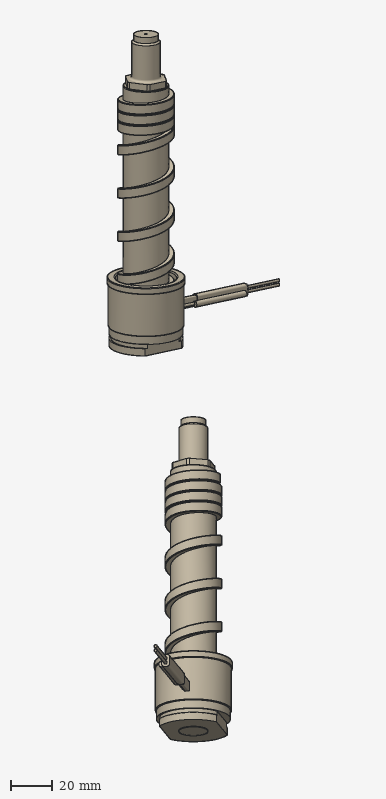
import cadquery as cq
import math

total_height = 158.2

foot_radius = 7.15
foot_top = 0.4
disc_radius = 18.0
disc_top = 4.1
neck_radius = 17.1
neck_top = 6.3
flange_top = 10.3
body_radius = 18.5
cap_bottom = 31.8
cap_radius = 19.0
cap_top = 35.2
base_edge_chamfer = 0.4
flat_distance = 14.25
recess_radius = 14.9
recess_chamfer = 0.6

barrel_radius = 11.15
barrel_top = 132.4
barrel_chamfer = 0.4
hex_across_flats = 19.0
hex_corner_radius = 10.6
hex_top = total_height - 22.5
shaft_radius = 7.0
shaft_fillet = 1.2
shaft_top = total_height - 3.9
tip_radius = 6.05
tip_bottom = total_height - 3.0
centre_hole_diameter = 1.2
centre_hole_depth = 2.0

coil_outer_radius = 13.8
coil_embed = 0.2
coil_strip_height = 5.0
coil_chamfer = 0.35
coil_upper_end_height = 127.3
coil_upper_end_angle = 176.0
close_pitch = 5.35
open_pitch = 21.95
upper_close_turn = 1166.0
upper_blend_turn = 120.0
open_turn = 1090.0
lower_blend_turn = 180.0
lower_close_turn = 360.0
coil_curve_step = 7.5

lead_start_y = 16.5
cable_x = -1.3
cable_z = 17.3
cable_width = 2.5
cable_height = 5.2
cable_fillet = 0.5
sleeve_start_y = 30.7
sleeve_length = 30.2
sleeve_width = 3.8
sleeve_height = 6.2
sleeve_fillet = 1.1
wire_end_y = 81.0
wire_diameter = 1.5
wire_spacing = 2.2
core_x = 0.15
core_z = 16.3
core_diameter = 1.6
core_sleeve_x = 1.05
core_sleeve_diameter = 3.1
core_sleeve_start_y = 28.7


def cylinder(radius, bottom, top):
    return cq.Workplane("XY").workplane(offset=bottom).circle(radius).extrude(top - bottom)


def stretch_drop(turn, start_pitch, end_pitch, full_turn):
    """Descent after `turn` degrees of a stretch whose pitch changes evenly over `full_turn`."""
    pitch_here = start_pitch + (end_pitch - start_pitch) * turn / full_turn
    return (start_pitch + pitch_here) / 2 * turn / 360


coil_stretches = [
    (upper_close_turn, close_pitch, close_pitch),
    (upper_blend_turn, close_pitch, open_pitch),
    (open_turn, open_pitch, open_pitch),
    (lower_blend_turn, open_pitch, close_pitch),
    (lower_close_turn, close_pitch, close_pitch),
]
coil_total_turn = sum(stretch[0] for stretch in coil_stretches)


def coil_height(turn):
    """Height of the strip's middle after `turn` degrees down from its upper end."""
    height = coil_upper_end_height
    for full_turn, start_pitch, end_pitch in coil_stretches:
        turn_here = min(turn, full_turn)
        height -= stretch_drop(turn_here, start_pitch, end_pitch, full_turn)
        turn -= turn_here
    return height


coil_inner_radius = barrel_radius - coil_embed
recess_floor = coil_height(coil_total_turn) - coil_strip_height / 2


def coil_edge(radius, rise, start_turn, end_turn):
    """One long edge of the strip: its radius, and its rise above the strip's middle."""
    steps = math.ceil((end_turn - start_turn) / coil_curve_step)
    points = []
    for step in range(steps + 1):
        turn = start_turn + (end_turn - start_turn) * step / steps
        angle = math.radians(coil_upper_end_angle - turn)
        height = coil_height(turn) + rise
        points.append(cq.Vector(radius * math.cos(angle), radius * math.sin(angle), height))
    return cq.Edge.makeSpline(points)


def coil_stretch(start_turn, end_turn):
    """A stretch of strip bounded by one ruled face per side and a flat face at each end."""
    half_height = coil_strip_height / 2
    corners = [
        (coil_inner_radius, -half_height),
        (coil_outer_radius - coil_chamfer, -half_height),
        (coil_outer_radius, coil_chamfer - half_height),
        (coil_outer_radius, half_height - coil_chamfer),
        (coil_outer_radius - coil_chamfer, half_height),
        (coil_inner_radius, half_height),
    ]
    edges = [coil_edge(radius, rise, start_turn, end_turn) for radius, rise in corners]
    next_edges = edges[1:] + edges[:1]
    faces = [cq.Face.makeRuledSurface(edge, other) for edge, other in zip(edges, next_edges)]
    for end in (0, 1):
        end_corners = [edge.positionAt(end) for edge in edges]
        faces.append(cq.Face.makeFromWires(cq.Wire.makePolygon(end_corners, close=True)))
    return cq.Solid.makeSolid(cq.Shell.makeShell(faces))


def add_coil(rod):
    start_turn = 0
    for stretch in coil_stretches:
        end_turn = start_turn + stretch[0]
        rod = rod.union(cq.Workplane(coil_stretch(start_turn, end_turn)), clean=False)
        start_turn = end_turn
    return rod


def make_base():
    foot = cylinder(foot_radius, 0, foot_top)
    disc = cylinder(disc_radius, foot_top, disc_top)
    neck = cylinder(neck_radius, disc_top, neck_top)
    flats = cq.Workplane("XY").box(2 * flat_distance, 2 * disc_radius, neck_top, centered=(True, True, False))
    flange = cylinder(disc_radius, neck_top, flange_top)
    body = cylinder(body_radius, flange_top, cap_bottom).faces("<Z").chamfer(base_edge_chamfer)
    cap = cylinder(cap_radius, cap_bottom, cap_top).edges().chamfer(base_edge_chamfer)
    recess = cylinder(recess_radius, recess_floor, cap_top)
    clamp = disc.union(neck).intersect(flats)
    base = foot.union(clamp).union(flange).union(body).union(cap).cut(recess)
    recess_rim = base.faces(">Z").edges(cq.selectors.RadiusNthSelector(0))
    return recess_rim.chamfer(recess_chamfer)


def make_hex_collar():
    hex_across_corners = hex_across_flats / math.cos(math.radians(30))
    prism = (
        cq.Workplane("XY")
        .workplane(offset=barrel_top)
        .transformed(rotate=(0, 0, 90))
        .polygon(6, hex_across_corners)
        .extrude(hex_top - barrel_top)
    )
    return prism.intersect(cylinder(hex_corner_radius, barrel_top, hex_top))


def make_shaft():
    fillet_radius = shaft_radius + shaft_fillet
    arc_offset = shaft_fillet * (1 - math.cos(math.radians(45)))
    profile = (
        cq.Workplane("XZ")
        .moveTo(0, barrel_top)
        .lineTo(fillet_radius, barrel_top)
        .lineTo(fillet_radius, hex_top)
        .threePointArc(
            (shaft_radius + arc_offset, hex_top + arc_offset),
            (shaft_radius, hex_top + shaft_fillet),
        )
        .lineTo(shaft_radius, shaft_top)
        .lineTo(tip_radius, tip_bottom)
        .lineTo(tip_radius, total_height)
        .lineTo(0, total_height)
        .close()
    )
    shaft = profile.revolve(360, (0, 0, 0), (0, 1, 0))
    return shaft.faces(">Z").workplane().hole(centre_hole_diameter, centre_hole_depth)


def make_rod():
    barrel = cylinder(barrel_radius, recess_floor, barrel_top).faces(">Z").chamfer(barrel_chamfer)
    return barrel.union(make_hex_collar()).union(make_shaft())


def flat_lead(width, height, fillet, start_y, end_y):
    length = end_y - start_y
    bar = cq.Workplane("XY").box(width, length, height).edges("|Y").fillet(fillet)
    return bar.translate((cable_x, start_y + length / 2, cable_z))


def round_lead(x, z, diameter, start_y, end_y):
    plane = cq.Plane(origin=(x, start_y, z), xDir=(1, 0, 0), normal=(0, 1, 0))
    return cq.Workplane(plane).circle(diameter / 2).extrude(end_y - start_y)


def make_leads():
    sleeve_end_y = sleeve_start_y + sleeve_length
    core_sleeve_end_y = core_sleeve_start_y + sleeve_length
    leads = flat_lead(cable_width, cable_height, cable_fillet, lead_start_y, sleeve_end_y)
    leads = leads.union(flat_lead(sleeve_width, sleeve_height, sleeve_fillet, sleeve_start_y, sleeve_end_y))
    leads = leads.union(round_lead(core_x, core_z, core_diameter, lead_start_y, core_sleeve_end_y))
    leads = leads.union(
        round_lead(core_sleeve_x, core_z, core_sleeve_diameter, core_sleeve_start_y, core_sleeve_end_y)
    )
    for side in (-1, 1):
        wire_z = cable_z + side * wire_spacing / 2
        leads = leads.union(round_lead(cable_x, wire_z, wire_diameter, sleeve_start_y, wire_end_y))
    return leads


result = make_base().union(make_leads()).union(add_coil(make_rod()), clean=False)